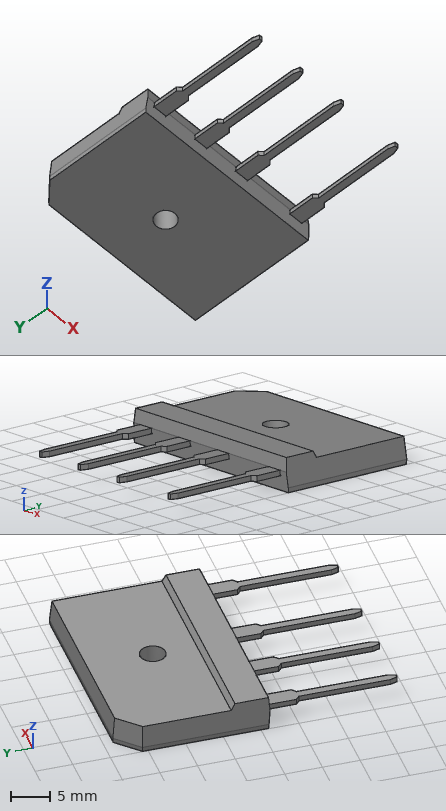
import cadquery as cq
import math

total_length = 37.5
housing_width = 30.0
housing_length = 20.0
housing_height = 4.6
draft_angle = 5.0
widest_height = 0.68
corner_cut = 3.0

deck_height = 3.7
bar_top_back = 4.6
bar_foot_back = 5.15

hole_y = 10.95
hole_top_diameter = 3.38
hole_bottom_diameter = 3.2

lead_centers = [-12.5, -5.0, 2.5, 12.5]
lead_top = 2.75
lead_thickness = 0.75
lead_embed = 1.88
lead_width = 2.2
pin_width = 1.1
tip_width = 0.5
shoulder_y = -3.85
pin_start_y = -4.4
tip_start_y = -16.5
lead_end_y = housing_length - total_length

draft_slope = math.tan(math.radians(draft_angle))


def drafted_block(height):
    """Cut-corner block with drafted sides, grown from the widest height; negative height goes down."""
    half_width = housing_width / 2
    front_y = -housing_length
    block = (
        cq.Workplane("XY")
        .moveTo(-half_width, front_y)
        .lineTo(half_width, front_y)
        .lineTo(half_width, housing_length)
        .lineTo(-half_width + corner_cut, housing_length)
        .lineTo(-half_width, housing_length - corner_cut)
        .close()
        .extrude(abs(height), taper=draft_angle)
    )
    if height < 0:
        block = block.mirror("XY")
    return block.translate((0, 0, widest_height))


def side_profile():
    """Stepped Y-Z profile with a front face that leans back above and below the lead tops."""
    front_at_bottom = lead_top * draft_slope
    front_at_top = (housing_height - lead_top) * draft_slope
    return (
        cq.Workplane("YZ")
        .moveTo(front_at_bottom, 0)
        .lineTo(0, lead_top)
        .lineTo(front_at_top, housing_height)
        .lineTo(bar_top_back, housing_height)
        .lineTo(bar_foot_back, deck_height)
        .lineTo(housing_length, deck_height)
        .lineTo(housing_length, 0)
        .close()
        .extrude(housing_width / 2, both=True)
    )


def mounting_hole():
    """Cone frustum that narrows from the deck to the underside."""
    return (
        cq.Workplane("XY")
        .center(0, hole_y)
        .circle(hole_bottom_diameter / 2)
        .workplane(offset=deck_height)
        .circle(hole_top_diameter / 2)
        .loft()
    )


def make_lead(center_x):
    """Flat lead with a wide root, a narrow pin and a pointed tip."""
    right_side = [
        (lead_width / 2, lead_embed),
        (lead_width / 2, shoulder_y),
        (pin_width / 2, pin_start_y),
        (pin_width / 2, tip_start_y),
        (tip_width / 2, lead_end_y),
    ]
    left_side = [(-x, y) for x, y in reversed(right_side)]
    return (
        cq.Workplane("XY")
        .polyline(right_side + left_side)
        .close()
        .extrude(lead_thickness)
        .translate((center_x, 0, lead_top - lead_thickness))
    )


def make_housing(leads):
    """Drafted, stepped housing with the mounting hole and a pocket for each lead."""
    upper_block = drafted_block(housing_height - widest_height)
    lower_block = drafted_block(-widest_height)
    housing = upper_block.union(lower_block).intersect(side_profile()).cut(mounting_hole())
    for lead in leads:
        housing = housing.cut(lead)
    return housing


leads = [make_lead(center_x) for center_x in lead_centers]
housing = make_housing(leads)

result = cq.Compound.makeCompound([housing.val(), *[lead.val() for lead in leads]])